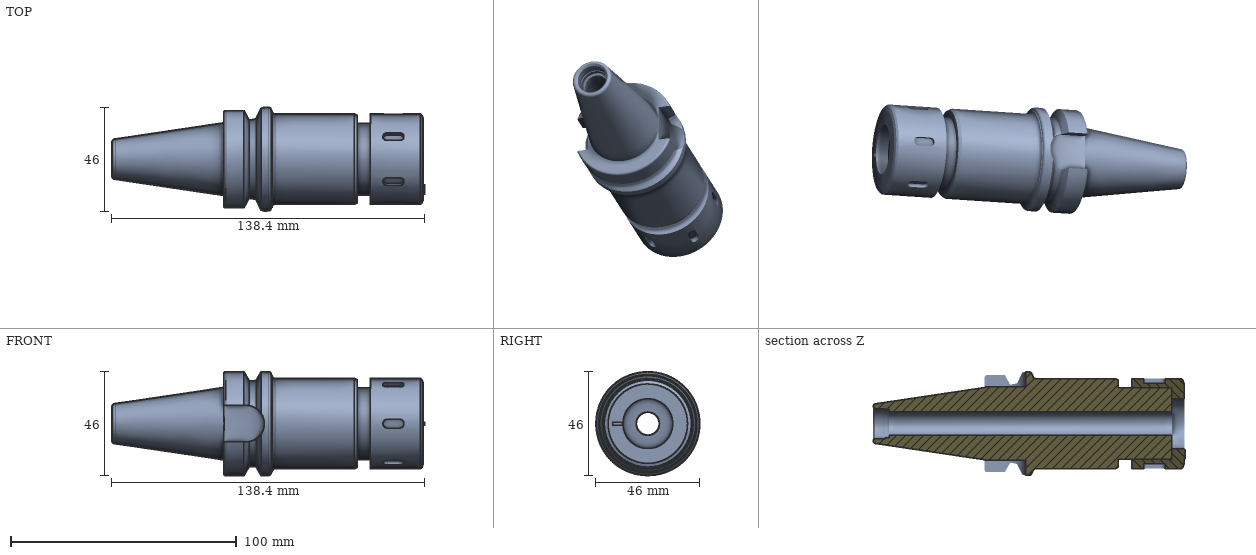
import cadquery as cq
import math

TOTAL_LENGTH = 138.4
FLANGE_R = 46.0 / 2
BODY_R = 40.0 / 2
NECK_R = 32.0 / 2

ARC_INSET = 1 - math.sqrt(0.5)

SHANK_BASE_R = 32.2 / 2
SHANK_TIP_R = 17.9 / 2
SHANK_TIP_ROUND = 1.4

UNDERCUT_R = 16.7
UNDERCUT_DEPTH = 0.3

FLANGE_FRONT_X = 49.4
FLANGE_FRONT_ROUND = 1.0
GROOVE_START_X = 58.4
GROOVE_END_X = 66.0
GROOVE_R = 19.1
GROOVE_FLANK_ANGLE = 30.0
FLANGE_BACK_X = 70.5
FLANGE_BACK_ROUND = 1.2
FLANGE_BACK_SLOPE = 0.4

BODY_END_X = 108.6
BODY_END_CHAMFER_LENGTH = 1.4
BODY_END_CHAMFER_DEPTH = 0.7

SLOT_WIDTH = 16.2
SLOT_FLOOR_Y = 16.3
SLOT_END_X = 67.4

BORE_R = 10.1 / 2
THREAD_R = 12.5 / 2
MOUTH_R = 13.1 / 2
MOUTH_CHAMFER = 0.8
MOUTH_DEPTH = 5.3
THREAD_DEPTH = 7.2

NUT_START_X = 114.3
MARK_HEIGHT = 0.5
NUT_END_X = TOTAL_LENGTH - MARK_HEIGHT
NUT_LIP = 5.5
NECK_END_X = NUT_END_X - NUT_LIP
NUT_OPENING_R = 22.0 / 2
NUT_CHAMFER_START_X = 136.5
NUT_STEP_X = 137.3
NUT_STEP_R = 19.2
NUT_FACE_R = 17.6
MARK_INNER_R = 11.3
MARK_OUTER_R = 15.6
MARK_WIDTH = 1.4

WRENCH_SLOT_COUNT = 6
WRENCH_SLOT_LENGTH = 9.3
WRENCH_SLOT_WIDTH = 3.9
WRENCH_SLOT_DEPTH = 2.1
WRENCH_SLOT_X = 124.5


def holder_blank():
    """Revolved outside of the holder: shank, flange, body and neck."""
    flank = (FLANGE_R - GROOVE_R) * math.tan(math.radians(GROOVE_FLANK_ANGLE))
    fillet_start_x = FLANGE_BACK_X + FLANGE_BACK_SLOPE
    tip_inset = SHANK_TIP_ROUND * ARC_INSET
    front_inset = FLANGE_FRONT_ROUND * ARC_INSET
    back_inset = FLANGE_BACK_ROUND * ARC_INSET
    return (
        cq.Workplane("XY")
        .moveTo(0, 0)
        .lineTo(0, SHANK_TIP_R - SHANK_TIP_ROUND)
        .threePointArc((tip_inset, SHANK_TIP_R - tip_inset), (SHANK_TIP_ROUND, SHANK_TIP_R))
        .lineTo(FLANGE_FRONT_X + UNDERCUT_DEPTH, SHANK_BASE_R)
        .lineTo(FLANGE_FRONT_X, UNDERCUT_R)
        .lineTo(FLANGE_FRONT_X, FLANGE_R - FLANGE_FRONT_ROUND)
        .threePointArc(
            (FLANGE_FRONT_X + front_inset, FLANGE_R - front_inset),
            (FLANGE_FRONT_X + FLANGE_FRONT_ROUND, FLANGE_R),
        )
        .lineTo(GROOVE_START_X, FLANGE_R)
        .lineTo(GROOVE_START_X + flank, GROOVE_R)
        .lineTo(GROOVE_END_X - flank, GROOVE_R)
        .lineTo(GROOVE_END_X, FLANGE_R)
        .lineTo(FLANGE_BACK_X - FLANGE_BACK_ROUND, FLANGE_R)
        .threePointArc(
            (FLANGE_BACK_X - back_inset, FLANGE_R - back_inset),
            (FLANGE_BACK_X, FLANGE_R - FLANGE_BACK_ROUND),
        )
        .lineTo(fillet_start_x, BODY_R + FLANGE_BACK_ROUND)
        .threePointArc(
            (fillet_start_x + back_inset, BODY_R + back_inset),
            (fillet_start_x + FLANGE_BACK_ROUND, BODY_R),
        )
        .lineTo(BODY_END_X - BODY_END_CHAMFER_LENGTH, BODY_R)
        .lineTo(BODY_END_X, BODY_R - BODY_END_CHAMFER_DEPTH)
        .lineTo(BODY_END_X, NECK_R)
        .lineTo(NECK_END_X, NECK_R)
        .lineTo(NECK_END_X, 0)
        .close()
        .revolve(360, (0, 0, 0), (1, 0, 0))
    )


def bore():
    """Revolved cutter for the bore, open at both ends of the holder."""
    return (
        cq.Workplane("XY")
        .moveTo(0, 0)
        .lineTo(0, MOUTH_R + MOUTH_CHAMFER)
        .lineTo(MOUTH_CHAMFER, MOUTH_R)
        .lineTo(MOUTH_DEPTH, MOUTH_R)
        .lineTo(MOUTH_DEPTH, THREAD_R)
        .lineTo(THREAD_DEPTH, THREAD_R)
        .lineTo(THREAD_DEPTH, BORE_R)
        .lineTo(NECK_END_X, BORE_R)
        .lineTo(NECK_END_X, 0)
        .close()
        .revolve(360, (0, 0, 0), (1, 0, 0))
    )


def drive_slot(side):
    """Round-ended slot cutter for one Y side, open toward the shank."""
    radius = SLOT_WIDTH / 2
    center_x = SLOT_END_X - radius
    return (
        cq.Workplane("XZ", origin=(0, side * SLOT_FLOOR_Y, 0))
        .moveTo(FLANGE_FRONT_X, -radius)
        .lineTo(center_x, -radius)
        .threePointArc((SLOT_END_X, 0), (center_x, radius))
        .lineTo(FLANGE_FRONT_X, radius)
        .close()
        .extrude(-side * FLANGE_R)
    )


def make_holder():
    """Tool holder with its bore and two drive slots."""
    holder = holder_blank().cut(bore())
    for side in (-1, 1):
        holder = holder.cut(drive_slot(side))
    return holder


def wrench_slot(index):
    """Cutter for one of the slots spaced evenly around the nut."""
    return (
        cq.Workplane("XZ", origin=(WRENCH_SLOT_X, -(BODY_R - WRENCH_SLOT_DEPTH), 0))
        .slot2D(WRENCH_SLOT_LENGTH, WRENCH_SLOT_WIDTH)
        .extrude(BODY_R)
        .rotate((0, 0, 0), (1, 0, 0), index * 360 / WRENCH_SLOT_COUNT)
    )


def face_mark():
    """Radial bar raised on the end face, sunk into it by its own height."""
    length = MARK_OUTER_R - MARK_INNER_R
    center_y = -(MARK_INNER_R + MARK_OUTER_R) / 2
    return (
        cq.Workplane("XY", origin=(NUT_END_X, center_y, 0))
        .box(2 * MARK_HEIGHT, length, MARK_WIDTH)
    )


def make_nut():
    """Nut ring fitted around the neck, with its wrench slots and face mark."""
    nut = (
        cq.Workplane("XY")
        .moveTo(NUT_START_X, NECK_R)
        .lineTo(NUT_START_X, BODY_R)
        .lineTo(NUT_CHAMFER_START_X, BODY_R)
        .lineTo(NUT_STEP_X, NUT_STEP_R)
        .lineTo(NUT_END_X, NUT_FACE_R)
        .lineTo(NUT_END_X, NUT_OPENING_R)
        .lineTo(NECK_END_X, NUT_OPENING_R)
        .lineTo(NECK_END_X, NECK_R)
        .close()
        .revolve(360, (0, 0, 0), (1, 0, 0))
    )
    for index in range(WRENCH_SLOT_COUNT):
        nut = nut.cut(wrench_slot(index))
    return nut.union(face_mark())


holder = make_holder()
nut = make_nut()
result = cq.Compound.makeCompound([holder.val(), nut.val()])